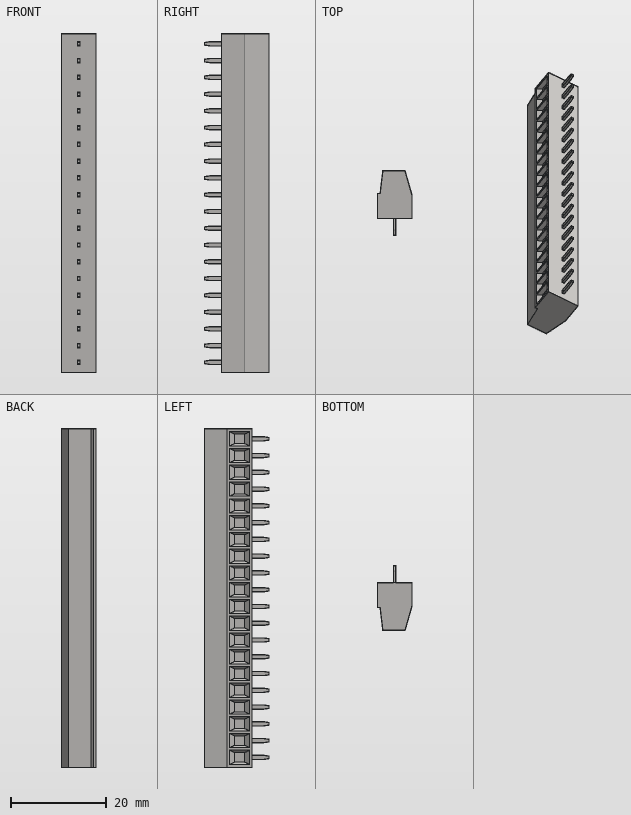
import cadquery as cq

body_width = 7.3
body_depth = 10.0
body_length = 70.7
step_depth = 5.2
ledge_width = 0.6
entry_side_inset = 1.1
shoulder_depth = 4.8
far_side_inset = 1.5

position_count = 20
end_margin = 2.1
pitch = (body_length - 2 * end_margin) / (position_count - 1)

funnel_mouth_y = 4.2
funnel_mouth_z = 3.0
funnel_floor_y = 2.1
funnel_floor_z = 2.0
funnel_depth = 0.85
funnel_center_y = 2.6

pin_length = 3.5
pin_thickness = 0.5
pin_width = 0.9
pin_tip_width = 0.6
pin_tip_length = 1.1
pin_center_x = 3.6


def make_body():
    """Body with its wire-entry face at X = 0 and its front face at Y = 0."""
    outline = [
        (0, 0),
        (body_width, 0),
        (body_width, shoulder_depth),
        (body_width - far_side_inset, body_depth),
        (entry_side_inset, body_depth),
        (ledge_width, step_depth),
        (0, step_depth),
    ]
    return cq.Workplane("XY").polyline(outline).close().extrude(body_length)


def make_funnel(z):
    """Tapered rectangular recess, narrowing from the wire-entry face to a flat floor."""
    return (
        cq.Workplane("YZ", origin=(0, funnel_center_y, z))
        .rect(funnel_mouth_y, funnel_mouth_z)
        .workplane(offset=funnel_depth)
        .rect(funnel_floor_y, funnel_floor_z)
        .loft(ruled=True)
    )


def make_pin(z):
    """Flat pin pointing to -Y, with a tip that narrows along Z."""
    half_width = pin_width / 2
    half_tip = pin_tip_width / 2
    taper_start = pin_tip_length - pin_length
    outline = [
        (0, -half_width),
        (0, half_width),
        (taper_start, half_width),
        (-pin_length, half_tip),
        (-pin_length, -half_tip),
        (taper_start, -half_width),
    ]
    return (
        cq.Workplane("YZ", origin=(pin_center_x, 0, z))
        .polyline(outline)
        .close()
        .extrude(pin_thickness / 2, both=True)
    )


positions = [end_margin + index * pitch for index in range(position_count)]

result = make_body()
for position in positions:
    result = result.cut(make_funnel(position))
    result = result.union(make_pin(position))